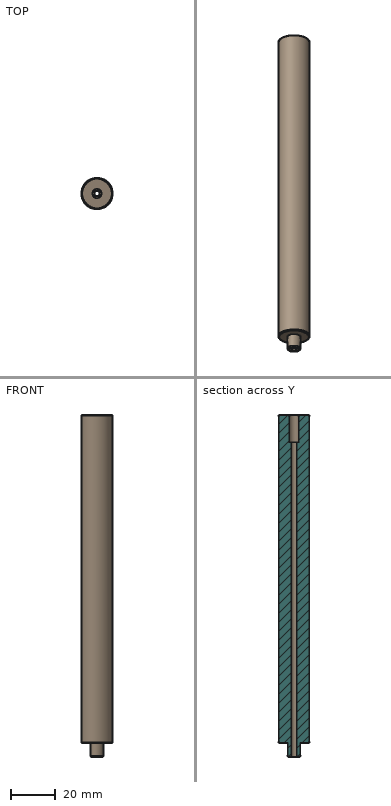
import cadquery as cq

total_length = 153.0
body_diameter = 14.0
body_chamfer = 0.5

pin_diameter = 6.0
pin_length = 6.3
pin_chamfer = 0.6

socket_diameter = 4.1
socket_depth = 12.2
passage_diameter = 2.3

body_length = total_length - pin_length

body = (
    cq.Workplane("XY")
    .workplane(offset=pin_length)
    .circle(body_diameter / 2)
    .extrude(body_length)
    .edges()
    .chamfer(body_chamfer)
)

pin = (
    cq.Workplane("XY")
    .circle(pin_diameter / 2)
    .extrude(pin_length)
    .faces("<Z")
    .edges()
    .chamfer(pin_chamfer)
)

result = (
    body.union(pin)
    .faces(">Z")
    .workplane(origin=(0, 0, total_length))
    .cboreHole(passage_diameter, socket_diameter, socket_depth)
)